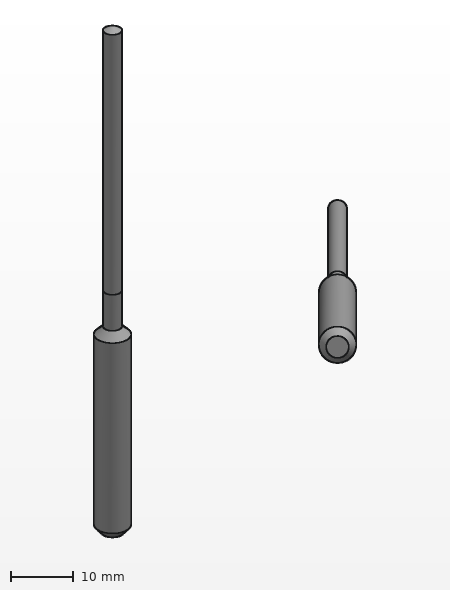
import cadquery as cq
import math

overall_length = 92.0
shank_diameter = 6.0
drill_diameter = 3.1
point_angle = 130.0

cutting_start = 44.0
shank_top = 36.0
shoulder_angle = 45.0
end_chamfer_height = 1.4
end_chamfer_width = 1.2

shank_radius = shank_diameter / 2
drill_radius = drill_diameter / 2
shoulder_height = (shank_radius - drill_radius) / math.tan(math.radians(shoulder_angle))
neck_start = shank_top + shoulder_height
point_height = drill_radius / math.tan(math.radians(point_angle / 2))
point_start = overall_length - point_height


def revolve_about_z(outline):
    """Turn a closed (radius, height) outline about the Z axis."""
    return cq.Workplane("YZ").polyline(outline).close().revolve(360, (0, 0), (0, 1))


def make_shank():
    """Shank chamfered at its lower end, with a shoulder cone and a neck at its upper end."""
    return revolve_about_z([
        (0, 0),
        (shank_radius - end_chamfer_width, 0),
        (shank_radius, end_chamfer_height),
        (shank_radius, shank_top),
        (drill_radius, neck_start),
        (drill_radius, cutting_start),
        (0, cutting_start),
    ])


def make_cutting_part():
    """Plain cylindrical cutting part with a conical point."""
    return revolve_about_z([
        (0, cutting_start),
        (drill_radius, cutting_start),
        (drill_radius, point_start),
        (0, overall_length),
    ])


shank = make_shank()
cutting_part = make_cutting_part()

result = cq.Compound.makeCompound([shank.val(), cutting_part.val()])